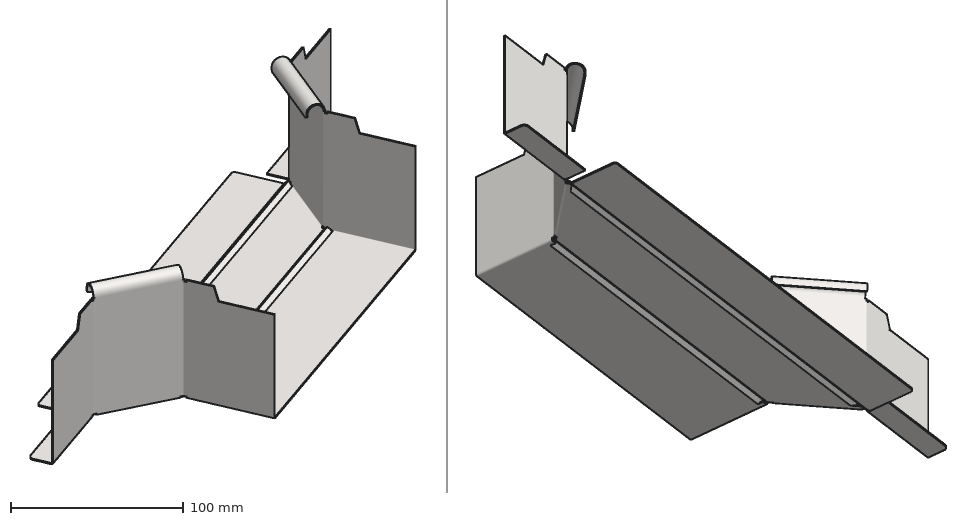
import math

import cadquery as cq

LENGTH = 399.2
WIDTH = 133.5
HEIGHT = 89.45
SHEET = 1.0
BEND_INNER = 0.4
BEND_OUTER = BEND_INNER + SHEET
CORNER_INNER = 1.2
CORNER_OUTER = CORNER_INNER + SHEET

FLOOR_BOTTOM = 2.45
FLOOR_TOP = FLOOR_BOTTOM + SHEET

HALF_LENGTH = LENGTH / 2
SIDE_X = 36.3
BRANCH_X = 75.8
BRANCH_Y = 101.8
CORNER_ANGLE = 45
SIDE_Y = BRANCH_Y + BRANCH_X - SIDE_X
DIAGONAL = math.sqrt(0.5)
DIAGONAL_LENGTH = math.hypot(BRANCH_X - SIDE_X, SIDE_Y - BRANCH_Y)

CURL_RADIUS = 5.9
CURL_CENTRE_Z = HEIGHT - CURL_RADIUS
CURL_LIP = 2.8
CURL_LIP_CORNER = 1.5

WALL_TOP = CURL_CENTRE_Z
STEP_DROP = 9.6
STEP_START = 19.2
STEP_RUN = 3.0
NOTCH_START = 0.4
NOTCH_WIDTH = 1.4
NOTCH_DEPTH = 1.2

PLATE_HALF_LENGTH = 140.5
PLATE_CORNER = 2.0
FLANGE_LEFT_X = 20.6
FLANGE_GAP = 2.4
FLANGE_CORNER = 3.0

JOGGLE_X = 32.6
JOGGLE_RUN = 3.7
STEP_RIDGE_X = 75.8
STEP_RIDGE_RUN = 2.0
RIDGE_FALL_RUN = 3.6
JOGGLE_RIDGE_HEIGHT = 1.4
STEP_RIDGE_HEIGHT = 1.8

FOOT_LEG = 4.0
CORNER_RELIEF = 1.8


def floor_section():
    """Upper outline of the floor along X; the underside follows one sheet below."""
    joggle_peak_x = JOGGLE_X + JOGGLE_RUN
    step_peak_x = STEP_RIDGE_X + STEP_RIDGE_RUN
    upper = [
        (0, SHEET),
        (JOGGLE_X, SHEET),
        (joggle_peak_x, FLOOR_TOP + JOGGLE_RIDGE_HEIGHT),
        (joggle_peak_x + RIDGE_FALL_RUN, FLOOR_TOP),
        (STEP_RIDGE_X, FLOOR_TOP),
        (step_peak_x, FLOOR_TOP + STEP_RIDGE_HEIGHT),
        (step_peak_x + RIDGE_FALL_RUN, FLOOR_TOP),
        (WIDTH, FLOOR_TOP),
    ]
    lower = [(x, z - SHEET) for x, z in reversed(upper)]
    return upper + lower


def make_floor():
    """Lower plate, raised floor and branch plate as one ridged sheet."""
    sheet = (
        cq.Workplane("XZ")
        .polyline(floor_section())
        .close()
        .extrude(HALF_LENGTH, both=True)
    )
    branch_edge = BRANCH_Y - BEND_OUTER
    diagonal_sum = BRANCH_X + BRANCH_Y - BEND_OUTER / DIAGONAL
    side_edge = diagonal_sum - SIDE_X
    throat_x = diagonal_sum - branch_edge
    half = [
        (0, PLATE_HALF_LENGTH),
        (SIDE_X, PLATE_HALF_LENGTH),
        (SIDE_X, side_edge),
        (throat_x, branch_edge),
        (WIDTH, branch_edge),
    ]
    plan = half + [(x, -y) for x, y in reversed(half)]
    blank = cq.Workplane("XY").polyline(plan).close().extrude(HEIGHT)
    blank = blank.edges("|Z and <X").fillet(PLATE_CORNER)
    return sheet.intersect(blank)


def wall_top_cut(plane, bend, end):
    """Blocks that notch a wall beside its bend and lower its top beyond the sloped step."""
    step = bend + STEP_START
    notch = bend + NOTCH_START
    outlines = (
        cq.Workplane(plane)
        .polyline([
            (step, WALL_TOP),
            (step + STEP_RUN, WALL_TOP - STEP_DROP),
            (end, WALL_TOP - STEP_DROP),
            (end, WALL_TOP),
        ])
        .close()
        .moveTo(notch, WALL_TOP - NOTCH_DEPTH)
        .lineTo(notch + NOTCH_WIDTH, WALL_TOP - NOTCH_DEPTH)
        .lineTo(notch + NOTCH_WIDTH, WALL_TOP)
        .lineTo(notch, WALL_TOP)
        .close()
    )
    return outlines.extrude(-HALF_LENGTH if plane == "XZ" else WIDTH)


def make_wall():
    """Upright strip of side, diagonal and branch wall with the stepped top."""
    mitre = SHEET * math.tan(math.radians(CORNER_ANGLE / 2))
    inner_side = (SIDE_X - SHEET, SIDE_Y - mitre)
    inner_branch = (BRANCH_X - mitre, BRANCH_Y - SHEET)
    outer_side = (SIDE_X, SIDE_Y)
    outer_branch = (BRANCH_X, BRANCH_Y)
    base = FLOOR_BOTTOM + BEND_OUTER
    strip = (
        cq.Workplane("XY", origin=(0, 0, base))
        .polyline([
            (SIDE_X, HALF_LENGTH),
            outer_side,
            outer_branch,
            (WIDTH, BRANCH_Y),
            (WIDTH, BRANCH_Y - SHEET),
            inner_branch,
            inner_side,
            (SIDE_X - SHEET, HALF_LENGTH),
        ])
        .close()
        .extrude(WALL_TOP - base)
    )
    for corners, radius in (
        ((outer_side, outer_branch), CORNER_INNER),
        ((inner_side, inner_branch), CORNER_OUTER),
    ):
        for x, y in corners:
            edge = cq.selectors.NearestToPointSelector((x, y, (base + WALL_TOP) / 2))
            strip = strip.edges(edge).fillet(radius)
    strip = strip.cut(wall_top_cut("XZ", BRANCH_X, WIDTH))
    return strip.cut(wall_top_cut("YZ", SIDE_Y, HALF_LENGTH))


def wall_plane(start, inward):
    """Plane at a wall's outer face: local x points inward, local y up, extrusion along the wall."""
    along = (inward[1], -inward[0])
    return cq.Workplane(cq.Plane(
        origin=(start[0], start[1], 0),
        xDir=(inward[0], inward[1], 0),
        normal=(along[0], along[1], 0),
    ))


def bend_foot(workplane, length, leg):
    """Bend from the foot of a wall into a flat leg."""
    wall_base = FLOOR_BOTTOM + BEND_OUTER
    outer_mid = (BEND_OUTER * (1 - DIAGONAL), wall_base - BEND_OUTER * DIAGONAL)
    inner_mid = (BEND_OUTER - BEND_INNER * DIAGONAL, wall_base - BEND_INNER * DIAGONAL)
    return (
        workplane
        .moveTo(0, wall_base)
        .threePointArc(outer_mid, (BEND_OUTER, FLOOR_BOTTOM))
        .lineTo(leg, FLOOR_BOTTOM)
        .lineTo(leg, FLOOR_TOP)
        .lineTo(BEND_OUTER, FLOOR_TOP)
        .threePointArc(inner_mid, (SHEET, wall_base))
        .close()
        .extrude(length)
    )


def curl(workplane, length):
    """Half-round curled rim with a short straight lip."""
    inner_radius = CURL_RADIUS - SHEET
    far = 2 * CURL_RADIUS
    lip_end = CURL_CENTRE_Z - CURL_LIP
    rim = (
        workplane
        .moveTo(0, CURL_CENTRE_Z)
        .threePointArc((CURL_RADIUS, HEIGHT), (far, CURL_CENTRE_Z))
        .lineTo(far, lip_end)
        .lineTo(far - SHEET, lip_end)
        .lineTo(far - SHEET, CURL_CENTRE_Z)
        .threePointArc((CURL_RADIUS, CURL_CENTRE_Z + inner_radius), (SHEET, CURL_CENTRE_Z))
        .close()
        .extrude(length)
    )
    across_sheet = workplane.plane.xDir
    lip_ends = rim.faces("<Z").edges(cq.selectors.ParallelDirSelector(across_sheet))
    return lip_ends.fillet(CURL_LIP_CORNER)


def make_diagonal_parts():
    """Bend foot and curled rim of the diagonal wall."""
    inward = (-DIAGONAL, -DIAGONAL)
    relief = CORNER_RELIEF * DIAGONAL
    foot_start = (BRANCH_X - relief, BRANCH_Y + relief)
    foot_length = DIAGONAL_LENGTH - 2 * CORNER_RELIEF
    foot = bend_foot(wall_plane(foot_start, inward), foot_length, FOOT_LEG)
    rim = curl(wall_plane((BRANCH_X, BRANCH_Y), inward), DIAGONAL_LENGTH)
    return foot.union(rim)


def make_branch_foot():
    """Bend between the branch wall and the branch plate."""
    length = WIDTH - BRANCH_X - CORNER_RELIEF
    return bend_foot(wall_plane((WIDTH, BRANCH_Y), (0, -1)), length, FOOT_LEG)


def make_side_flange():
    """Flange that the side wall turns into at its foot, pointing toward -X."""
    start_y = PLATE_HALF_LENGTH + FLANGE_GAP
    plane = wall_plane((SIDE_X, start_y), (-1, 0))
    flange = bend_foot(plane, HALF_LENGTH - start_y, SIDE_X - FLANGE_LEFT_X)
    return flange.edges("|Z and <X and >Y").fillet(FLANGE_CORNER)


half_walls = (
    make_wall()
    .union(make_diagonal_parts())
    .union(make_branch_foot())
    .union(make_side_flange())
)
result = make_floor().union(half_walls).union(half_walls.mirror("XZ"))